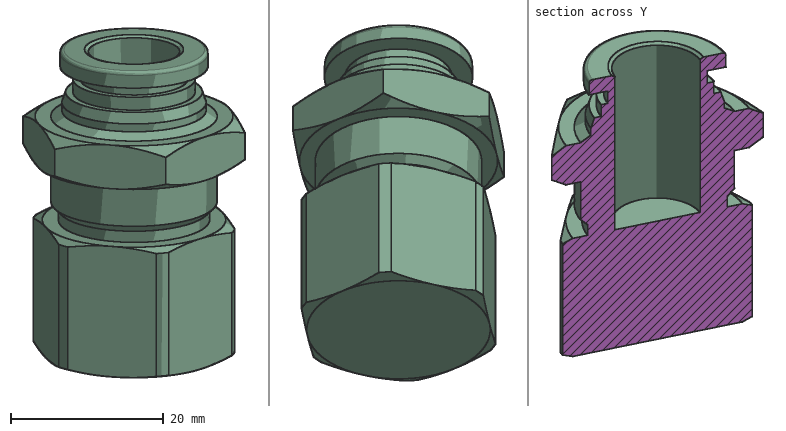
import cadquery as cq
import math

height = 41.4

body_across_flats = 24.1
body_corner_radius = 13.45
body_height = 17.95
body_corner_drop = 0.55

nut_across_flats = 26.0
nut_bottom = 26.2
nut_top = 32.2
nut_corner_drop = 1.15

neck_radius = 9.95
barrel_radius = 10.95
barrel_cone_bottom = 19.5
barrel_bottom = 20.5
barrel_top = nut_top

ring_radius = 9.5
ring_bottom = 33.05
ring_top = 34.1
ring_cone_radius = 9.0
ring_cone_top = 35.55
sleeve_radius = 8.05
sleeve_top = 37.35
stem_radius = 7.1

collar_radius = 9.73
collar_bottom = 39.12
collar_edge = 0.5

bore_radius = 6.0
bore_chamfer_width = 0.5
bore_chamfer_depth = 0.3
bore_floor = body_height


def revolve_profile(points):
    """Turn a closed outline of (radius, height) points about the Z axis."""
    return cq.Workplane("XZ").polyline(points).close().revolve(360, (0, 0, 0), (0, 1, 0))


def across_corners(across_flats):
    """Corner-to-corner width of a regular hexagon."""
    return across_flats / math.cos(math.pi / 6)


def chamfered_hexagon(across_flats, corner_radius, bottom, top, corner_drop):
    """Hexagon with corners on the X axis, coned at both ends down to its inscribed circle."""
    base = cq.Workplane("XY").workplane(offset=bottom)
    prism = base.polygon(6, across_corners(across_flats)).extrude(top - bottom)
    flat_radius = across_flats / 2
    envelope = revolve_profile([
        (0, bottom),
        (flat_radius, bottom),
        (corner_radius, bottom + corner_drop),
        (corner_radius, top - corner_drop),
        (flat_radius, top),
        (0, top),
    ])
    return prism.intersect(envelope)


body = chamfered_hexagon(body_across_flats, body_corner_radius, 0, body_height, body_corner_drop)
nut_corner_radius = across_corners(nut_across_flats) / 2
nut = chamfered_hexagon(nut_across_flats, nut_corner_radius, nut_bottom, nut_top, nut_corner_drop)

core = revolve_profile([
    (0, 0),
    (neck_radius, 0),
    (neck_radius, barrel_cone_bottom),
    (barrel_radius, barrel_bottom),
    (barrel_radius, barrel_top),
    (ring_radius, ring_bottom),
    (ring_radius, ring_top),
    (ring_cone_radius, ring_cone_top),
    (sleeve_radius, ring_cone_top),
    (sleeve_radius, sleeve_top),
    (stem_radius, sleeve_top),
    (stem_radius, collar_bottom),
    (0, collar_bottom),
])

collar = cq.Workplane("XY").workplane(offset=collar_bottom).circle(collar_radius)
collar = collar.extrude(height - collar_bottom).faces(">Z").edges().fillet(collar_edge)

bore = revolve_profile([
    (0, bore_floor),
    (bore_radius, bore_floor),
    (bore_radius, height - bore_chamfer_depth),
    (bore_radius + bore_chamfer_width, height),
    (0, height),
])

result = body.union(core).union(nut).union(collar).cut(bore)